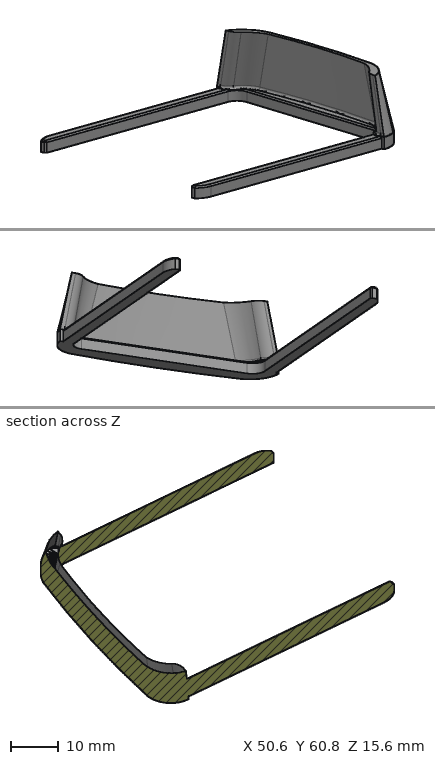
import cadquery as cq
import math

total_length = 60.75
half_width = 25.3
total_height = 15.6
back_depth = 7.55
base_height = 2.7
edge_chamfer = 0.35
leg_end_y = back_depth - total_length

leg_outer_x = 24.65
leg_inner_x = 22.0
leg_tip_outer_x = 23.3
leg_tip_length = 3.35

bar_inner_y = 2.8
bar_half_length = 19.2
mid_angle = math.radians(45)

root_fillet = 0.6
lip_depth = 1.35

pick_margin = 0.05


def mirrored_profile(z, outer, inner):
    """Closed band: end face, outer corner and crown, then inner crown, corner and rounded lip."""
    (end_x, outer_mid, outer_corner, outer_crown_y) = outer
    (inner_crown_y, inner_corner, inner_mid, lip, lip_mid, lip_end_x) = inner

    def left(point):
        return (-point[0], point[1])

    return (
        cq.Workplane("XY", origin=(0, 0, z))
        .moveTo(-end_x, 0)
        .threePointArc(left(outer_mid), left(outer_corner))
        .threePointArc((0, outer_crown_y), outer_corner)
        .threePointArc(outer_mid, (end_x, 0))
        .lineTo(lip_end_x, 0)
        .threePointArc(lip_mid, lip)
        .threePointArc(inner_mid, inner_corner)
        .threePointArc((0, inner_crown_y), left(inner_corner))
        .threePointArc(left(inner_mid), left(lip))
        .threePointArc(left(lip_mid), (-lip_end_x, 0))
        .close()
    )


base_outer = (half_width, (23.8, 4.3), (19.85, 6.7), back_depth)
rim_outer = (22.65, (20.05, 3.6), (14.5, 5.7), 6.3)
root_inner = (5.8, (17.6, 4.9), (20.15, 3.6), (21.8, lip_depth), (22.85, 0.35), 24.35)
rim_inner = (5.2, (14.5, 4.5), (17.3, 3.2), (19.45, lip_depth), (20.45, 0.4), 21.8)


def base_outline():
    end_x, corner_mid, corner, crown_y = base_outer
    corner_width = leg_inner_x - bar_half_length
    inner_mid = (
        bar_half_length + corner_width * math.sin(mid_angle),
        bar_inner_y * math.cos(mid_angle),
    )
    return (
        cq.Workplane("XY")
        .moveTo(-end_x, 0)
        .threePointArc((-corner_mid[0], corner_mid[1]), (-corner[0], corner[1]))
        .threePointArc((0, crown_y), corner)
        .threePointArc(corner_mid, (end_x, 0))
        .lineTo(leg_inner_x, 0)
        .threePointArc(inner_mid, (bar_half_length, bar_inner_y))
        .lineTo(-bar_half_length, bar_inner_y)
        .threePointArc((-inner_mid[0], inner_mid[1]), (-leg_inner_x, 0))
        .close()
    )


def make_base():
    return (
        base_outline()
        .extrude(base_height)
        .edges(cq.selectors.BoxSelector(
            (-bar_half_length, bar_inner_y - pick_margin, base_height - pick_margin),
            (bar_half_length, bar_inner_y + pick_margin, base_height + pick_margin),
        ))
        .chamfer(edge_chamfer)
    )


def make_leg():
    tip_start_y = leg_end_y + leg_tip_length
    tip_inset = leg_outer_x - leg_tip_outer_x
    tip_radius = (tip_inset**2 + leg_tip_length**2) / (2 * tip_inset)
    half_sweep = math.asin(leg_tip_length / tip_radius) / 2
    tip_mid = (
        leg_outer_x - tip_radius * (1 - math.cos(half_sweep)),
        tip_start_y - tip_radius * math.sin(half_sweep),
    )
    return (
        cq.Workplane("XY")
        .moveTo(leg_inner_x, 0)
        .lineTo(leg_outer_x, 0)
        .lineTo(leg_outer_x, tip_start_y)
        .threePointArc(tip_mid, (leg_tip_outer_x, leg_end_y))
        .lineTo(leg_inner_x + edge_chamfer, leg_end_y)
        .lineTo(leg_inner_x, leg_end_y + edge_chamfer)
        .close()
        .extrude(base_height)
        .faces(">Z").edges("not >Y")
        .chamfer(edge_chamfer)
    )


def make_wall():
    root = mirrored_profile(base_height, base_outer, root_inner).wire().val()
    rim = mirrored_profile(total_height, rim_outer, rim_inner).wire().val()
    return cq.Workplane(cq.Solid.makeLoft([root, rim], True))


def add_root_fillet(wall):
    """Return the wall with a concave blend at its root that stays on the base and the leg tops."""
    slab_size = 3 * half_width
    slab = cq.Workplane("XY").box(slab_size, slab_size, base_height, centered=(True, True, False))

    def edges_within(half_span, max_y):
        return cq.selectors.BoxSelector(
            (-half_span, -root_fillet, base_height - pick_margin),
            (half_span, max_y, base_height + pick_margin),
        )

    inner_edges = edges_within(leg_inner_x, root_inner[0])
    end_edges = edges_within(half_width, lip_depth)
    blended_wall = slab.union(wall).edges(inner_edges + end_edges).fillet(root_fillet).cut(slab)

    clear_depth = 2 * root_fillet
    clear_height = 2 * (base_height + root_fillet)
    leg_top_inner_x = leg_inner_x + edge_chamfer
    leg_top_outer_x = leg_outer_x - edge_chamfer
    outside_width = 2 * (half_width - leg_top_outer_x)
    outside_x = leg_top_outer_x + outside_width / 2
    between_legs = cq.Workplane("XY").box(2 * leg_top_inner_x, clear_depth, clear_height)
    clearance = (
        cq.Workplane("XY")
        .pushPoints([(-outside_x, 0), (outside_x, 0)])
        .box(outside_width, clear_depth, clear_height)
        .union(between_legs)
        .translate((0, -clear_depth / 2, 0))
    )
    return blended_wall.cut(clearance)


leg = make_leg()
frame = make_base().union(leg).union(leg.mirror("YZ"))
result = frame.union(add_root_fillet(make_wall()))